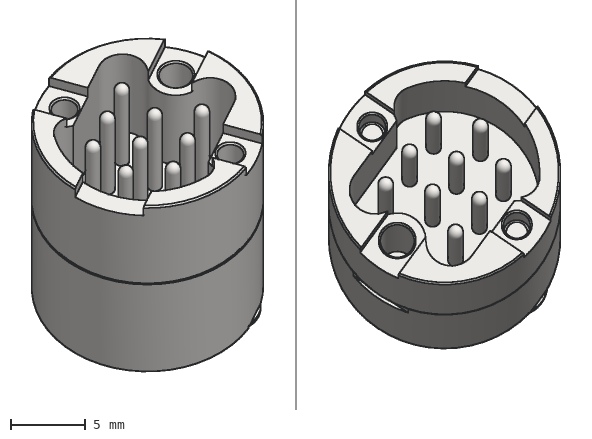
import cadquery as cq
import math

overall_height = 16.13
body_radius = 15.49 / 2
split_height = 8.51
edge_chamfer = 0.127

cavity_floor = split_height
cavity_half_width = 4.81
cavity_bottom_radius = 6.35
lower_lobe_radius = 1.42
lower_lobe_reach_x = 5.62
upper_lobe_radius = 1.69
cavity_top_y = 5.34

slot_floor = overall_height - 0.86
slot_width = 3.1
front_slot_width = 4.86

guide_y = 5.48
guide_diameter = 2.26
guide_wall_radius = 1.91
guide_chamfer = 0.12

side_hole_x = 5.9
side_hole_diameter = 1.78
side_hole_chamfer = edge_chamfer
side_pin_chamfer = 0.19
side_pin_recess = 2.0
side_pin_foot = slot_floor - side_pin_recess

contact_radius = 1.02 / 2
contact_tip = overall_height - 0.24
contact_column_x = 2.85
contact_pitch = 2.78

notch_depth = 0.33
notch_height = 0.89

bottom_chamfer_front_y = -1.2
lug_reach = 15.85 / 2
lug_plan_radius = 2.2
lug_face_radius = 1.84
lug_face_drop = 0.11
lug_top = 0.42
lug_bottom = 0.06


def polar(center, radius, angle):
    return (center[0] + radius * math.cos(angle), center[1] + radius * math.sin(angle))


def cylinder(x, y, z_low, z_high, radius):
    return cq.Workplane("XY", origin=(x, y, z_low)).circle(radius).extrude(z_high - z_low)


def block(x_range, y_range, z_range):
    size = [high - low for low, high in (x_range, y_range, z_range)]
    corner = (x_range[0], y_range[0], z_range[0])
    return cq.Workplane("XY", origin=corner).box(*size, centered=False)


def make_body():
    """Lower and upper cylinder; the lower one is chamfered only behind the lugs."""
    upper = cylinder(0, 0, split_height, overall_height, body_radius)
    upper = upper.faces("<Z or >Z").chamfer(edge_chamfer)
    lower = cylinder(0, 0, 0, split_height, body_radius)
    chamfered = lower.faces("<Z").chamfer(edge_chamfer)
    front = block(
        (-body_radius, body_radius), (-body_radius, bottom_chamfer_front_y), (0, split_height)
    )
    lower = chamfered.union(lower.intersect(front))
    return lower.union(upper)


def make_half_cavity():
    """Right half (+X) of the cavity, closed along the YZ plane."""
    lower_reach = cavity_bottom_radius - lower_lobe_radius
    lower_x = lower_lobe_reach_x - lower_lobe_radius
    lower_angle = -math.acos(lower_x / lower_reach)
    lower_center = polar((0, 0), lower_reach, lower_angle)
    side_start_y = lower_center[1] + math.sqrt(
        lower_lobe_radius**2 - (cavity_half_width - lower_x) ** 2
    )

    upper_center = (cavity_half_width - upper_lobe_radius, cavity_top_y - upper_lobe_radius)
    guide_center = (0, guide_y)
    rise = guide_y - upper_center[1]
    spacing = math.hypot(upper_center[0], rise)
    tangent_angle = (
        math.atan2(rise, -upper_center[0])
        - math.acos((upper_lobe_radius + guide_wall_radius) / spacing)
    )
    wall_angle = tangent_angle - math.pi
    down = -math.pi / 2

    return (
        cq.Workplane("XY", origin=(0, 0, cavity_floor))
        .moveTo(0, -cavity_bottom_radius)
        .threePointArc(
            polar((0, 0), cavity_bottom_radius, (down + lower_angle) / 2),
            polar((0, 0), cavity_bottom_radius, lower_angle),
        )
        .threePointArc(
            polar(lower_center, lower_lobe_radius, 0),
            (cavity_half_width, side_start_y),
        )
        .lineTo(cavity_half_width, upper_center[1])
        .threePointArc(
            polar(upper_center, upper_lobe_radius, tangent_angle / 2),
            polar(upper_center, upper_lobe_radius, tangent_angle),
        )
        .lineTo(*polar(guide_center, guide_wall_radius, wall_angle))
        .threePointArc(
            polar(guide_center, guide_wall_radius, (wall_angle + down) / 2),
            polar(guide_center, guide_wall_radius, down),
        )
        .close()
        .extrude(overall_height - cavity_floor)
    )


def cut_slots(body):
    z_range = (slot_floor, overall_height)
    half = slot_width / 2
    front_half = front_slot_width / 2
    cross = block((-body_radius, body_radius), (-half, half), z_range)
    back = block((-half, half), (0, body_radius), z_range)
    front = block((-front_half, front_half), (-body_radius, 0), z_range)
    return body.cut(cross).cut(back).cut(front)


def make_hole(x, y, diameter, chamfer, floor):
    """Round hole with a countersunk mouth on the slot floor."""
    radius = diameter / 2
    profile = [
        (0, floor),
        (radius, floor),
        (radius, slot_floor - chamfer),
        (radius + chamfer, slot_floor),
        (0, slot_floor),
    ]
    hole = cq.Workplane("XZ").polyline(profile).close().revolve(360, (0, 0), (0, 1))
    return hole.translate((x, y, 0))


def make_side_pin_end(x):
    """Chamfered end of a pin that fills the side hole below it."""
    end = cq.Workplane("XY", origin=(x, 0, side_pin_foot)).circle(side_hole_diameter / 2)
    return end.extrude(side_pin_chamfer, taper=45)


def make_contact(x, y):
    dome_base = contact_tip - contact_radius
    dome = cq.Workplane("XY", origin=(x, y, dome_base)).sphere(contact_radius)
    return cylinder(x, y, cavity_floor, dome_base, contact_radius).union(dome)


def contact_positions():
    positions = []
    for row in (-1, 0, 1):
        y = row * contact_pitch
        positions += [(-contact_column_x, y), (contact_column_x, y)]
        positions.append((0, y - contact_pitch / 2))
    return positions


def make_lug(side):
    """Rounded lug at the foot of the body; side is -1 or +1 along X."""
    plan = cylinder(side * (lug_reach - lug_plan_radius), 0, lug_bottom, lug_top, lug_plan_radius)
    face_z = lug_top - lug_face_radius
    face_profile = [
        (0, 0),
        (0, lug_face_radius),
        (body_radius, lug_face_radius),
        (lug_reach, lug_face_radius - lug_face_drop),
        (lug_reach, 0),
    ]
    face = cq.Workplane("XY").polyline(face_profile).close().revolve(360, (0, 0), (1, 0))
    if side < 0:
        face = face.mirror("YZ")
    face = face.translate((0, 0, face_z))
    return plan.intersect(face)


def make_notch():
    flat_y = body_radius - notch_depth
    return block(
        (-body_radius, body_radius),
        (flat_y, body_radius),
        (split_height - notch_height, split_height),
    )


half_cavity = make_half_cavity()
result = make_body().cut(half_cavity).cut(half_cavity.mirror("YZ"))
result = cut_slots(result)
result = result.cut(make_hole(0, guide_y, guide_diameter, guide_chamfer, cavity_floor))
result = result.cut(make_notch())

for side in (-1, 1):
    x = side * side_hole_x
    result = result.cut(make_hole(x, 0, side_hole_diameter, side_hole_chamfer, side_pin_foot))
    result = result.union(make_side_pin_end(x))
    result = result.union(make_lug(side))

for x, y in contact_positions():
    result = result.union(make_contact(x, y))